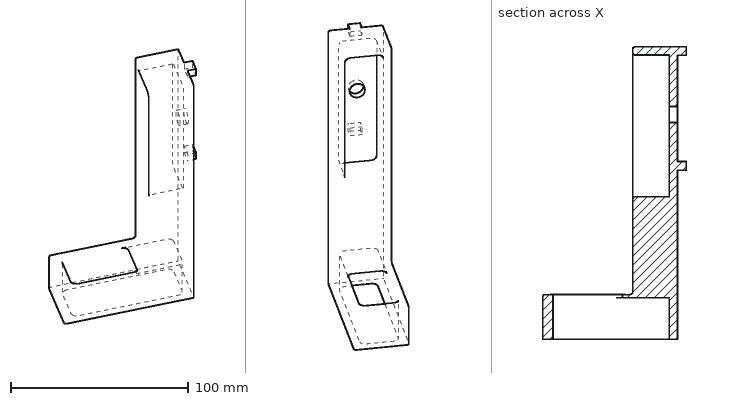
import cadquery as cq

width = 31.75
foot_length = 76.2
column_height = 165.1
leg_thickness = 25.4
edge_radius = 1.5

side_wall = 4.7625
opening_width = width - 2 * side_wall
opening_corner_radius = 3.175
rim_radius = 1.27

pocket_top_wall = side_wall
pocket_height = 79.8
pocket_depth = leg_thickness - side_wall

window_length = 39.0
window_front_wall = 6.0
window_front_y = window_front_wall - foot_length
lip_thickness = 2.0
foot_back_wall = side_wall

hole_diameter = 8.8
hole_drop = 38.3

tab_width = 7.0
tab_height = 5.0
tab_projection = 4.95
tab_spacing = 64.8

select_margin = 0.01


def make_body():
    """L-shaped body with all edges rounded except those of the back and underside."""
    profile = [
        (0, 0),
        (-foot_length, 0),
        (-foot_length, leg_thickness),
        (-leg_thickness, leg_thickness),
        (-leg_thickness, column_height),
        (0, column_height),
    ]
    body = cq.Workplane("YZ").polyline(profile).close().extrude(width / 2, both=True)
    sharp_edges = body.faces(">Y or <Z").edges().vals()
    rounded_edges = [
        edge for edge in body.edges().vals()
        if not any(edge.isSame(sharp_edge) for sharp_edge in sharp_edges)
    ]
    return body.newObject(rounded_edges).fillet(edge_radius)


def rounded_box(size_x, size_y, size_z, rounded_edges):
    """Centred box with the selected edges rounded to the corner radius of the openings."""
    box = cq.Workplane("XY").box(size_x, size_y, size_z)
    return box.edges(rounded_edges).fillet(opening_corner_radius)


def round_rim(body, opening_center, opening_size):
    """Round the rim of an opening, found by the flat box that the rim fills on its face."""
    half_spans = [size / 2 + select_margin for size in opening_size]
    low = tuple(middle - half for middle, half in zip(opening_center, half_spans))
    high = tuple(middle + half for middle, half in zip(opening_center, half_spans))
    return body.edges(cq.selectors.BoxSelector(low, high)).fillet(rim_radius)


def cut_column_pocket(body):
    """Blind pocket in the column, entered from the front."""
    center_z = column_height - pocket_top_wall - pocket_height / 2
    pocket = rounded_box(opening_width, pocket_depth, pocket_height, "|Y")
    body = body.cut(pocket.translate((0, -leg_thickness + pocket_depth / 2, center_z)))
    return round_rim(body, (0, -leg_thickness, center_z), (opening_width, 0, pocket_height))


def cut_foot_window(body):
    """Rounded window through the foot, with its rim rounded on top."""
    window_center_y = window_front_y + window_length / 2
    window = rounded_box(opening_width, window_length, leg_thickness, "|Z")
    window = window.translate((0, window_center_y, leg_thickness / 2))
    body = body.cut(window)
    return round_rim(body, (0, window_center_y, leg_thickness), (opening_width, window_length, 0))


def cut_foot_chamber(body):
    """Chamber open at the underside, running from the window's front end back under the column."""
    length = -foot_back_wall - window_front_y
    height = leg_thickness - lip_thickness
    chamber = rounded_box(opening_width, length, height, "|Z")
    return body.cut(chamber.translate((0, window_front_y + length / 2, height / 2)))


def cut_hole(body):
    """Round hole along Y through the column, inside the pocket."""
    hole = (
        cq.Workplane("XZ")
        .center(0, column_height - hole_drop)
        .circle(hole_diameter / 2)
        .extrude(leg_thickness)
    )
    return body.cut(hole)


def add_tabs(body):
    """Two rectangular tabs on the back face, the upper one flush with the top."""
    for drop in (0, tab_spacing):
        tab = cq.Workplane("XY").box(tab_width, tab_projection, tab_height)
        top = column_height - drop
        body = body.union(tab.translate((0, tab_projection / 2, top - tab_height / 2)))
    return body


result = make_body()
result = cut_column_pocket(result)
result = cut_foot_window(result)
result = cut_foot_chamber(result)
result = cut_hole(result)
result = add_tabs(result)